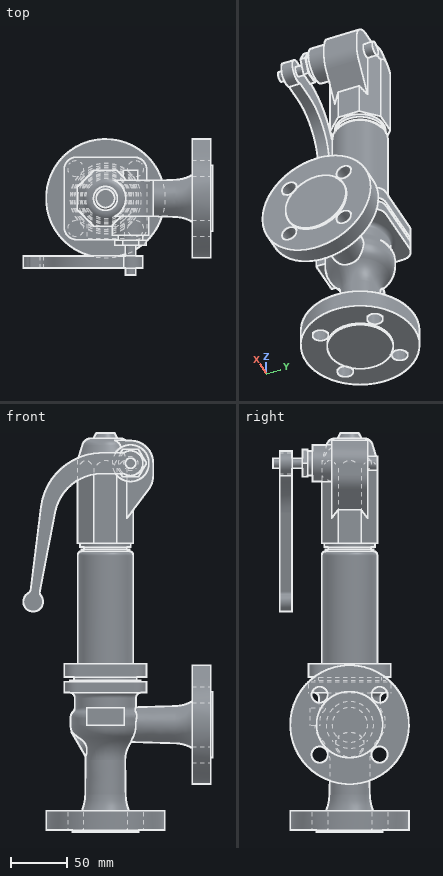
import cadquery as cq
import math


FLANGE_R = 52.5
RAISED_FACE_R = 29.5
RAISED_FACE_H = 1.8
BOLT_OFFSET = 26.5
BOLT_HOLE_R = 7.0
OUTLET_Z = 95.0
OUTLET_FACE_X = 95.0

HUB_R = 21.0
INLET_FLANGE_BACK = 19.0
INLET_HUB_END = 33.2
INLET_HUB_NECK_R = 18.0
INLET_NECK_END = 63.5
INLET_NECK_R = 17.5
OUTLET_FLANGE_BACK = 18.5
OUTLET_HUB_END = 33.0
OUTLET_HUB_NECK_R = 16.5
OUTLET_NECK_END = 81.3
OUTLET_NECK_R = 15.2

BULGE_R = 31.0
BULGE_BOTTOM = 95.0
BULGE_TOP = 100.5
SHOULDER_R = 28.5
SHOULDER_Z = 106.8
BODY_R = 27.2
BODY_BOTTOM = 110.3
BODY_FILLET = 4.5
WAIST_R = 25.5
WAIST_Z = 82.7

SQUARE_SIDE = 73.0
SQUARE_CORNER_R = 11.3
LOWER_SQUARE_BOTTOM = 123.5
LOWER_SQUARE_TOP = 133.3
UPPER_SQUARE_BOTTOM = 137.0
UPPER_SQUARE_TOP = 149.2
GASKET_R = 31.5
GASKET_H = 1.0
SPIGOT_R = 28.0

HOUSING_R = 24.7
HOUSING_SHOULDER_Z = 245.0
HOUSING_TOP = 248.5
HOUSING_TOP_R = 22.5
LIP_R = 21.5
LIP_TOP = 250.3
GROOVE_R = 19.0
GROOVE_TOP = 252.5
COLLAR_R = 22.5
CAP_BOTTOM = 255.5
CAP_FLATS = 49.5
CAP_SIDES = 8
CAP_CORNER_R = CAP_FLATS / 2 / math.cos(math.pi / CAP_SIDES)
CAP_CORNER_TOP = 322.7
CROWN_R = 20.5
CROWN_Z = 343.0
CAP_TOP = 349.0
KNOB_BASE_R = 10.5
KNOB_TOP_R = 8.0
TOTAL_H = 353.5

SHAFT_X = 22.3
SHAFT_Z = 326.5
SHAFT_R = 4.5
SHAFT_END_Y = -68.0
LUG_HALF_W = 16.0
LUG_ROUND_R = 20.0
LUG_SIDE_BOTTOM = 309.0
LUG_TOE_X = 10.5
LUG_TOE_Z = 266.5
BOSS_R = 16.3
BOSS_END_Y = -33.0
GLAND_R = 11.0
NUT_Y = -37.0
NUT_END_Y = -41.7
NUT_FLATS = 24.5
NUT_SIDES = 6
PIN_R = 6.5
PIN_END_Y = 24.7

LEVER_BACK_Y = -51.0
LEVER_T = 11.0
LEVER_HUB_R = 11.0
LEVER_HALF_W = 9.2
BEND_START_X = -3.0
OUTER_BEND_R = 54.8
OUTER_ARM_ANGLE = math.radians(7.1)
INNER_BEND_R = 42.5
INNER_ARM_ANGLE = math.radians(10.9)
GRIP_X = -64.0
GRIP_Z = 204.0
GRIP_R = 9.0
GRIP_FILLET = 4.2

PAD_W = 33.2
PAD_BOTTOM = 94.7
PAD_TOP = 110.3
PAD_FACE_Y = -35.5
DRAIN_R = 12.7
DRAIN_FACE_X = -23.7
DRAIN_FACE_Z = 77.5
DRAIN_LENGTH = 21.2
DRAIN_SLOPE = math.radians(30)


def revolve_z(profile):
    """Turn a closed profile drawn in X (radius) and Z about the valve axis."""
    return profile.close().revolve(360, (0, 0, 0), (0, 1, 0))


def disc(radius, bottom, top):
    return cq.Workplane("XY", origin=(0, 0, bottom)).circle(radius).extrude(top - bottom)


def pipe_end(flange_back, hub_end, hub_neck_r, neck_end, neck_r):
    """Flange and tapered neck along +Z, with the raised sealing face on z = 0."""
    bolt_holes = (
        cq.Workplane("XY")
        .rect(2 * BOLT_OFFSET, 2 * BOLT_OFFSET, forConstruction=True)
        .vertices()
        .circle(BOLT_HOLE_R)
        .extrude(flange_back)
    )
    neck = revolve_z(
        cq.Workplane("XZ")
        .moveTo(0, RAISED_FACE_H)
        .lineTo(0, neck_end)
        .lineTo(neck_r, neck_end)
        .lineTo(hub_neck_r, hub_end)
        .tangentArcPoint((HUB_R, flange_back), relative=False)
        .lineTo(HUB_R, RAISED_FACE_H)
    )
    return (
        disc(FLANGE_R, RAISED_FACE_H, flange_back)
        .cut(bolt_holes)
        .union(disc(RAISED_FACE_R, 0, RAISED_FACE_H))
        .union(neck)
    )


def square_plate(bottom, top):
    return (
        cq.Workplane("XY", origin=(0, 0, bottom))
        .rect(SQUARE_SIDE, SQUARE_SIDE)
        .extrude(top - bottom)
        .edges("|Z")
        .fillet(SQUARE_CORNER_R)
    )


def along_y(start, end):
    """Workplane centred on the lever shaft at y = start, and the extrusion length to y = end."""
    plane = cq.Workplane("XZ", origin=(SHAFT_X, start, SHAFT_Z))
    return plane, start - end


def shaft_disc(radius, start, end):
    plane, length = along_y(start, end)
    return plane.circle(radius).extrude(length)


def inlet():
    return pipe_end(INLET_FLANGE_BACK, INLET_HUB_END, INLET_HUB_NECK_R, INLET_NECK_END, INLET_NECK_R)


def outlet():
    branch = pipe_end(
        OUTLET_FLANGE_BACK, OUTLET_HUB_END, OUTLET_HUB_NECK_R, OUTLET_NECK_END, OUTLET_NECK_R
    )
    return branch.rotate((0, 0, 0), (0, 1, 0), -90).translate((OUTLET_FACE_X, 0, OUTLET_Z))


def body():
    """Round body: a concave flare above the inlet neck, then the bulge and the upper barrel."""
    fillet_middle = BODY_FILLET * (1 - math.sqrt(0.5))
    flare = revolve_z(
        cq.Workplane("XZ")
        .moveTo(0, INLET_HUB_END)
        .lineTo(INLET_NECK_R, INLET_HUB_END)
        .lineTo(INLET_NECK_R, INLET_NECK_END)
        .tangentArcPoint((WAIST_R, WAIST_Z), relative=False)
        .lineTo(0, WAIST_Z)
    )
    barrel = revolve_z(
        cq.Workplane("XZ")
        .moveTo(0, LOWER_SQUARE_BOTTOM)
        .lineTo(BODY_R + BODY_FILLET, LOWER_SQUARE_BOTTOM)
        .threePointArc(
            (BODY_R + fillet_middle, LOWER_SQUARE_BOTTOM - fillet_middle),
            (BODY_R, LOWER_SQUARE_BOTTOM - BODY_FILLET),
        )
        .lineTo(BODY_R, BODY_BOTTOM)
        .tangentArcPoint((SHOULDER_R, SHOULDER_Z), relative=False)
        .tangentArcPoint((BULGE_R, BULGE_TOP), relative=False)
        .lineTo(BULGE_R, BULGE_BOTTOM)
        .tangentArcPoint((WAIST_R, WAIST_Z), relative=False)
        .lineTo(0, WAIST_Z)
    )
    return flare.union(barrel)


def name_pad():
    """Flat-faced block on the -Y side, running back into the body."""
    return (
        cq.Workplane("XZ", origin=(0, 0, (PAD_BOTTOM + PAD_TOP) / 2))
        .rect(PAD_W, PAD_TOP - PAD_BOTTOM)
        .extrude(-PAD_FACE_Y)
    )


def drain_boss():
    """Plain round boss that slopes down and outward on the -X side."""
    face = cq.Plane(
        origin=(DRAIN_FACE_X, 0, DRAIN_FACE_Z),
        xDir=(0, 1, 0),
        normal=(math.cos(DRAIN_SLOPE), 0, math.sin(DRAIN_SLOPE)),
    )
    return cq.Workplane(face).circle(DRAIN_R).extrude(DRAIN_LENGTH)


def bonnet_joint():
    return (
        square_plate(LOWER_SQUARE_BOTTOM, LOWER_SQUARE_TOP)
        .union(disc(GASKET_R, LOWER_SQUARE_TOP, LOWER_SQUARE_TOP + GASKET_H))
        .union(disc(SPIGOT_R, LOWER_SQUARE_TOP, UPPER_SQUARE_BOTTOM))
        .union(square_plate(UPPER_SQUARE_BOTTOM, UPPER_SQUARE_TOP))
    )


def spring_housing():
    return revolve_z(
        cq.Workplane("XZ")
        .moveTo(0, UPPER_SQUARE_TOP)
        .lineTo(HOUSING_R, UPPER_SQUARE_TOP)
        .lineTo(HOUSING_R, HOUSING_SHOULDER_Z)
        .tangentArcPoint((HOUSING_TOP_R, HOUSING_TOP), relative=False)
        .lineTo(LIP_R, HOUSING_TOP)
        .lineTo(LIP_R, LIP_TOP)
        .lineTo(GROOVE_R, LIP_TOP)
        .lineTo(GROOVE_R, GROOVE_TOP)
        .lineTo(COLLAR_R, GROOVE_TOP)
        .lineTo(COLLAR_R, CAP_BOTTOM)
        .lineTo(0, CAP_BOTTOM)
    )


def cap():
    """Octagonal cap whose corners run into a turned cone, crown and end knob."""
    cone_angle = math.atan((CAP_CORNER_R - CROWN_R) / (CROWN_Z - CAP_CORNER_TOP))
    crown_arc_r = (CAP_TOP - CROWN_Z) / (1 - math.sin(cone_angle))
    cap_top_r = CROWN_R - crown_arc_r * math.cos(cone_angle)
    octagon = (
        cq.Workplane("XY", origin=(0, 0, CAP_BOTTOM))
        .polygon(CAP_SIDES, 2 * CAP_CORNER_R)
        .extrude(TOTAL_H - CAP_BOTTOM)
        .rotate((0, 0, 0), (0, 0, 1), 180 / CAP_SIDES)
    )
    turned = revolve_z(
        cq.Workplane("XZ")
        .moveTo(0, CAP_BOTTOM)
        .lineTo(CAP_CORNER_R, CAP_BOTTOM)
        .lineTo(CAP_CORNER_R, CAP_CORNER_TOP)
        .lineTo(CROWN_R, CROWN_Z)
        .tangentArcPoint((cap_top_r, CAP_TOP), relative=False)
        .lineTo(KNOB_BASE_R, CAP_TOP)
        .lineTo(KNOB_TOP_R, TOTAL_H)
        .lineTo(0, TOTAL_H)
    )
    return octagon.intersect(turned)


def lug():
    """Rounded side housing of the lever shaft, with its toe running into the cap."""
    side_x = SHAFT_X + LUG_ROUND_R
    top = SHAFT_Z + LUG_ROUND_R
    return (
        cq.Workplane("XZ", origin=(0, LUG_HALF_W, 0))
        .moveTo(0, top)
        .lineTo(side_x, top)
        .lineTo(side_x, LUG_SIDE_BOTTOM)
        .lineTo(LUG_TOE_X, LUG_TOE_Z)
        .lineTo(0, LUG_TOE_Z)
        .close()
        .extrude(2 * LUG_HALF_W)
        .edges("|Y and >X")
        .fillet(LUG_ROUND_R)
    )


def shaft_parts():
    nut_plane, nut_length = along_y(NUT_Y, NUT_END_Y)
    nut = nut_plane.polygon(NUT_SIDES, NUT_FLATS / math.cos(math.pi / NUT_SIDES)).extrude(nut_length)
    return (
        shaft_disc(BOSS_R, 0, BOSS_END_Y)
        .union(shaft_disc(GLAND_R, BOSS_END_Y, NUT_Y))
        .union(nut)
        .union(shaft_disc(SHAFT_R, NUT_END_Y, SHAFT_END_Y))
        .union(shaft_disc(PIN_R, PIN_END_Y, 0))
    )


def bend_points(radius, start_z, angle):
    """Middle and end of a bend that starts level and ends at an angle from vertical."""
    center_z = start_z - radius
    middle_angle = (angle + math.pi / 2) / 2
    return [
        (BEND_START_X - radius * math.cos(a), center_z + radius * math.sin(a))
        for a in (middle_angle, angle)
    ]


def lever():
    top = SHAFT_Z + LEVER_HALF_W
    bottom = SHAFT_Z - LEVER_HALF_W
    outer_middle, outer_end = bend_points(OUTER_BEND_R, top, OUTER_ARM_ANGLE)
    inner_middle, inner_end = bend_points(INNER_BEND_R, bottom, INNER_ARM_ANGLE)
    outer_tip_x = outer_end[0] - (outer_end[1] - GRIP_Z) * math.tan(OUTER_ARM_ANGLE)
    inner_tip_x = inner_end[0] - (inner_end[1] - GRIP_Z) * math.tan(INNER_ARM_ANGLE)
    arm = (
        cq.Workplane("XZ", origin=(0, LEVER_BACK_Y, 0))
        .moveTo(SHAFT_X, top)
        .lineTo(BEND_START_X, top)
        .threePointArc(outer_middle, outer_end)
        .lineTo(outer_tip_x, GRIP_Z)
        .lineTo(inner_tip_x, GRIP_Z)
        .lineTo(*inner_end)
        .threePointArc(inner_middle, (BEND_START_X, bottom))
        .lineTo(SHAFT_X, bottom)
        .close()
        .extrude(LEVER_T)
    )
    grip = (
        cq.Workplane("XZ", origin=(GRIP_X, LEVER_BACK_Y, GRIP_Z)).circle(GRIP_R).extrude(LEVER_T)
    )
    hub = shaft_disc(LEVER_HUB_R, LEVER_BACK_Y, LEVER_BACK_Y - LEVER_T)
    neck_zone = cq.selectors.BoxSelector(
        (GRIP_X - GRIP_R, 0, GRIP_Z + GRIP_R / 2),
        (GRIP_X + GRIP_R, 2 * LEVER_BACK_Y, GRIP_Z + 2 * GRIP_R),
    )
    return arm.union(grip).edges("|Y").edges(neck_zone).fillet(GRIP_FILLET).union(hub)


result = inlet()
for feature in (
    outlet(),
    body(),
    name_pad(),
    drain_boss(),
    bonnet_joint(),
    spring_housing(),
    cap(),
    lug(),
    shaft_parts(),
    lever(),
):
    result = result.union(feature)